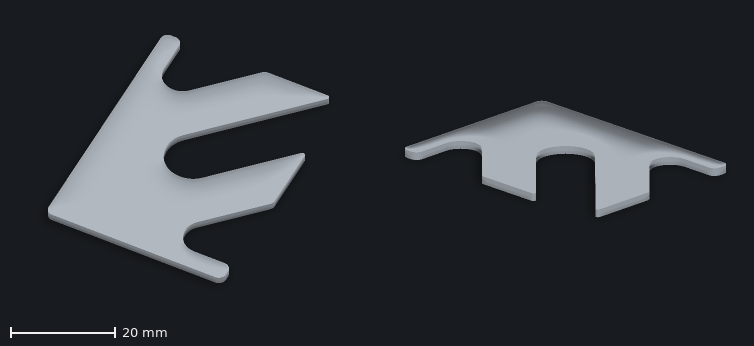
import cadquery as cq
import math

width = 38.1
height = 50.8
thickness = 1.6

diagonal_angle = 45.0
arm_width = 4.0
side_slot_radius = 4.0
center_slot_radius = 5.7

corner_radius = 1.5
tip_radius = 0.5

side_offset = arm_width + side_slot_radius
overrun = height


def round_ended_cut(x, y, radius, angle):
    """Straight slot with a round end at (x, y), running outward at the given angle."""
    end = cq.Workplane("XY").center(x, y).circle(radius).extrude(thickness)
    channel = (
        cq.Workplane("XY")
        .rect(overrun, 2 * radius)
        .extrude(thickness)
        .translate((overrun / 2, 0, 0))
        .rotate((0, 0, 0), (0, 0, 1), angle)
        .translate((x, y, 0))
    )
    return end.union(channel)


def flared_cut(x, y, straight_angle):
    """Side slot: one wall along an arm, the other on the diagonal, round at the base."""
    along_arm = round_ended_cut(x, y, side_slot_radius, straight_angle)
    along_diagonal = round_ended_cut(x, y, side_slot_radius, diagonal_angle)
    wedge = (
        cq.Workplane("XY")
        .moveTo(x, y)
        .lineTo(*ray_end(x, y, straight_angle))
        .lineTo(*ray_end(x, y, diagonal_angle))
        .close()
        .extrude(thickness)
    )
    return along_arm.union(along_diagonal).union(wedge)


def ray_end(x, y, angle):
    """Point at the overrun distance from (x, y) in the given direction."""
    direction = math.radians(angle)
    return x + overrun * math.cos(direction), y + overrun * math.sin(direction)


def round_corners(body, points, radius):
    """Fillet the upright edges standing at the given plan points."""
    for x, y in points:
        edge = cq.selectors.NearestToPointSelector((x, y, thickness / 2))
        body = body.edges("|Z").edges(edge).fillet(radius)
    return body


plate = cq.Workplane("XY").box(width, height, thickness, centered=False)
plate = plate.cut(flared_cut(side_offset, height - side_offset, 90))
plate = plate.cut(flared_cut(width - side_offset, side_offset, 0))
plate = plate.cut(round_ended_cut(width / 2, height / 2, center_slot_radius, diagonal_angle))

diagonal_factor = 1 / math.sin(math.radians(diagonal_angle))
tip_reach = (width + height) / 2 - center_slot_radius * diagonal_factor
shoulder_reach = 2 * side_offset + side_slot_radius * diagonal_factor

blunt_corners = [
    (0, 0),
    (0, height),
    (arm_width, height),
    (width, 0),
    (width, arm_width),
    (shoulder_reach, height),
    (width, shoulder_reach),
]
sharp_tips = [(tip_reach, height), (width, tip_reach)]

plate = round_corners(plate, blunt_corners, corner_radius)
result = round_corners(plate, sharp_tips, tip_radius)